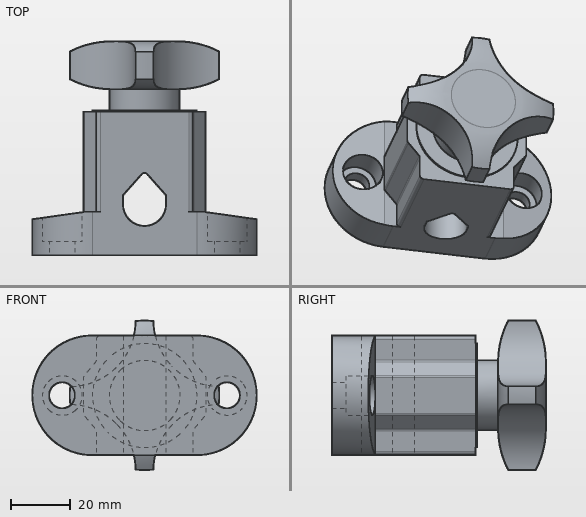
import cadquery as cq
import math


base_length = 75.0
base_width = 40.0
base_crest = 14.5
base_taper_angle = 8.0

mount_spacing = 55.0
mount_diameter = 8.6
counterbore_diameter = 13.2
mount_floor = 4.7

column_top = 48.0
wing_half_width = 20.4
wing_tip_half_height = 6.4
wing_root_half_height = 11.5
core_half_width = 16.15
core_half_height = base_width / 2
core_corner_radius = 1.3
wing_corner_radius = 1.0

boss_radius = 17.4
boss_height = 0.5
boss_top = column_top + boss_height

teardrop_radius = 7.13
teardrop_centre = 17.0
teardrop_shoulder = 20.1
teardrop_tip = 28.1
teardrop_tip_radius = 1.2

neck_radius = 11.75
knob_radius = 25.0
knob_bottom = 55.4
knob_top = 71.5
rim_width = 9.2
dome_flat_radius = 11.0
scallop_radius = 22.0
scallop_offset = 25.0


def make_base():
    """Oblong plate, thickest along the column and tapering to both ends."""
    plate = (
        cq.Workplane("XZ")
        .slot2D(base_length, base_width)
        .extrude(-base_crest)
    )
    half_length = base_length / 2
    end_drop = (half_length - wing_half_width) * math.tan(math.radians(base_taper_angle))
    end_height = base_crest - end_drop
    taper = (
        cq.Workplane("XY")
        .moveTo(-half_length, 0)
        .lineTo(half_length, 0)
        .lineTo(half_length, end_height)
        .lineTo(wing_half_width, base_crest)
        .lineTo(-wing_half_width, base_crest)
        .lineTo(-half_length, end_height)
        .close()
        .extrude(base_width, both=True)
    )
    return plate.intersect(taper)


def make_column():
    """Rectangular core with a tapered wing on each side."""
    core = (
        cq.Workplane("XZ")
        .rect(2 * core_half_width, 2 * core_half_height)
        .extrude(-column_top)
        .edges("|Y")
        .fillet(core_corner_radius)
    )
    wings = (
        cq.Workplane("XZ")
        .moveTo(core_half_width, wing_root_half_height)
        .lineTo(wing_half_width, wing_tip_half_height)
        .lineTo(wing_half_width, -wing_tip_half_height)
        .lineTo(core_half_width, -wing_root_half_height)
        .lineTo(-core_half_width, -wing_root_half_height)
        .lineTo(-wing_half_width, -wing_tip_half_height)
        .lineTo(-wing_half_width, wing_tip_half_height)
        .lineTo(-core_half_width, wing_root_half_height)
        .close()
        .extrude(-column_top)
    )
    wing_edges = cq.selectors.BoxSelector(
        (-base_length, 0, -wing_root_half_height - wing_corner_radius / 2),
        (base_length, column_top, wing_root_half_height + wing_corner_radius / 2),
    )
    return core.union(wings).edges("|Y").edges(wing_edges).fillet(wing_corner_radius)


def make_teardrop():
    """Cutter for the cross hole: round at the base side, rounded point at the knob side."""
    cutter = (
        cq.Workplane("XY")
        .moveTo(-teardrop_radius, teardrop_centre)
        .threePointArc((0, teardrop_centre - teardrop_radius), (teardrop_radius, teardrop_centre))
        .lineTo(teardrop_radius, teardrop_shoulder)
        .lineTo(0, teardrop_tip)
        .lineTo(-teardrop_radius, teardrop_shoulder)
        .close()
        .extrude(base_width, both=True)
    )
    return cutter.edges("|Z and >Y").fillet(teardrop_tip_radius)


def make_mount_cutters():
    """Cutters for the two through holes, each with a counterbore on the column side."""
    centres = [(-mount_spacing / 2, 0), (mount_spacing / 2, 0)]
    holes = cq.Workplane("XZ").pushPoints(centres).circle(mount_diameter / 2).extrude(-base_crest)
    counterbores = (
        cq.Workplane("XZ", origin=(0, mount_floor, 0))
        .pushPoints(centres)
        .circle(counterbore_diameter / 2)
        .extrude(mount_floor - base_crest)
    )
    return holes.union(counterbores)


def make_housing():
    """Base, column and boss as one body, with the cross hole and mounting holes cut."""
    boss = (
        cq.Workplane("XZ", origin=(0, column_top, 0))
        .circle(boss_radius)
        .extrude(-boss_height)
    )
    body = make_base().union(make_column()).union(boss)
    return body.cut(make_teardrop()).cut(make_mount_cutters())


def dome_drop(radius, rim_drop):
    """Depth of the dome below its flat centre, along an arc that leaves the flat tangentially."""
    dome_width = knob_radius - dome_flat_radius
    arc_radius = (dome_width**2 + rim_drop**2) / (2 * rim_drop)
    distance = radius - dome_flat_radius
    return arc_radius - math.sqrt(arc_radius**2 - distance**2)


def make_knob():
    """Domed disc on a round neck, with four scallops leaving four arms."""
    rim_drop = (knob_top - knob_bottom - rim_width) / 2
    middle_radius = (knob_radius + dome_flat_radius) / 2
    middle_drop = dome_drop(middle_radius, rim_drop)
    head = (
        cq.Workplane("XY")
        .moveTo(0, knob_bottom)
        .lineTo(dome_flat_radius, knob_bottom)
        .threePointArc(
            (middle_radius, knob_bottom + middle_drop),
            (knob_radius, knob_bottom + rim_drop),
        )
        .lineTo(knob_radius, knob_top - rim_drop)
        .threePointArc(
            (middle_radius, knob_top - middle_drop),
            (dome_flat_radius, knob_top),
        )
        .lineTo(0, knob_top)
        .close()
        .revolve(360, (0, 0, 0), (0, 1, 0))
    )
    scallops = (
        cq.Workplane("XZ", origin=(0, knob_bottom, 0))
        .rect(2 * scallop_offset, 2 * scallop_offset, forConstruction=True)
        .vertices()
        .circle(scallop_radius)
        .extrude(knob_bottom - knob_top)
    )
    neck = (
        cq.Workplane("XZ", origin=(0, boss_top, 0))
        .circle(neck_radius)
        .extrude(boss_top - (knob_bottom + knob_top) / 2)
    )
    return head.cut(scallops).union(neck)


housing = make_housing()
knob = make_knob()

result = cq.Compound.makeCompound([housing.val(), knob.val()])